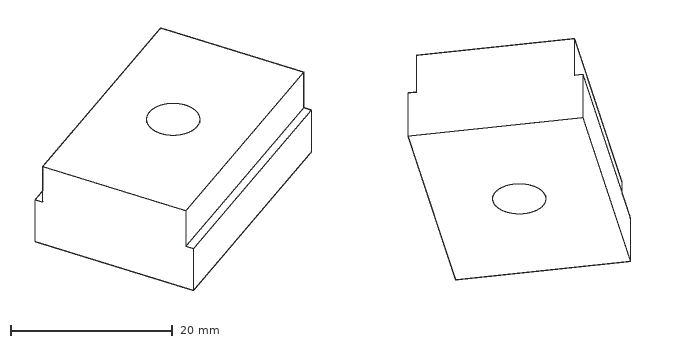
import cadquery as cq

length = 32.0
base_width = 22.0
total_height = 12.0

base_height = 6.5
upper_width = 19.9
upper_height = total_height - base_height

hole_diameter = 6.6

base = cq.Workplane("XY").box(base_width, length, base_height, centered=(True, True, False))

upper_body = (
    cq.Workplane("XY")
    .workplane(offset=base_height)
    .box(upper_width, length, upper_height, centered=(True, True, False))
)

result = base.union(upper_body).faces(">Z").workplane(origin=(0, 0, 0)).hole(hole_diameter)